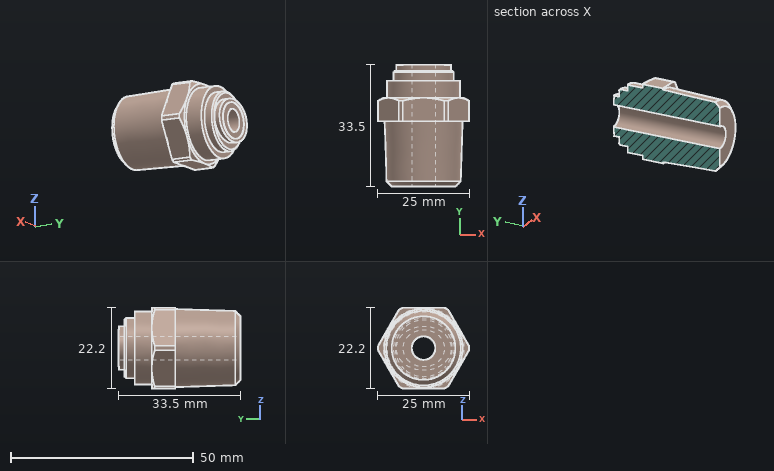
import cadquery as cq
import math


THREAD_LENGTH = 17.9
THREAD_ROOT_DIAMETER = 21.5
THREAD_TAPER = 1 / 16
END_CHAMFER = 1.5

HEX_SIDES = 6
HEX_LENGTH = 6.45
HEX_ACROSS_FLATS = 22.225
HEX_CORNER_DIAMETER = 25.0
HEX_CHAMFER_ANGLE = 30.0

BODY_DIAMETER = 20.1
BODY_LENGTH = 4.75
COLLAR_DIAMETER = 16.6
COLLAR_LENGTH = 2.75
COLLAR_CHAMFER = 0.5

BUTTON_WIDTH = 15.1
BUTTON_HEIGHT = 12.0
BUTTON_LENGTH = 1.55
PAD_WIDTH = 11.4
PAD_HEIGHT = 10.1
PAD_RISE = 0.1

BORE_DIAMETER = 6.4

HEX_START = THREAD_LENGTH
HEX_END = HEX_START + HEX_LENGTH
BODY_END = HEX_END + BODY_LENGTH
COLLAR_END = BODY_END + COLLAR_LENGTH
BUTTON_END = COLLAR_END + BUTTON_LENGTH
TOTAL_LENGTH = BUTTON_END + PAD_RISE


def plane_at(y):
    """Work plane across the axis at y, with local x = X and its normal along +Y."""
    return cq.Workplane(cq.Plane(origin=(0, y, 0), xDir=(1, 0, 0), normal=(0, 1, 0)))


def revolve_profile(points):
    """Turn a closed (radius, y) outline about the Y axis."""
    return cq.Workplane("XY").polyline(points).close().revolve(360, (0, 0, 0), (0, 1, 0))


def make_thread_blank():
    """Tapered cylinder with a 45 degree chamfer at its free end."""
    root_radius = THREAD_ROOT_DIAMETER / 2
    chamfer_radius = root_radius - (THREAD_LENGTH - END_CHAMFER) * THREAD_TAPER / 2
    return revolve_profile([
        (0, 0),
        (chamfer_radius - END_CHAMFER, 0),
        (chamfer_radius, END_CHAMFER),
        (root_radius, THREAD_LENGTH),
        (0, THREAD_LENGTH),
    ])


def make_hexagon():
    """Hexagon with rounded corners, chamfered on the body side."""
    across_corners = HEX_ACROSS_FLATS / math.cos(math.pi / HEX_SIDES)
    prism = plane_at(HEX_START).polygon(HEX_SIDES, across_corners).extrude(HEX_LENGTH)
    flat_radius = HEX_ACROSS_FLATS / 2
    corner_radius = HEX_CORNER_DIAMETER / 2
    chamfer_depth = (corner_radius - flat_radius) * math.tan(math.radians(HEX_CHAMFER_ANGLE))
    envelope = revolve_profile([
        (0, HEX_START),
        (corner_radius, HEX_START),
        (corner_radius, HEX_END - chamfer_depth),
        (flat_radius, HEX_END),
        (0, HEX_END),
    ])
    return prism.intersect(envelope)


def make_body():
    return plane_at(HEX_END).circle(BODY_DIAMETER / 2).extrude(BODY_LENGTH)


def make_collar():
    collar = plane_at(BODY_END).circle(COLLAR_DIAMETER / 2).extrude(COLLAR_LENGTH)
    return collar.faces(">Y").edges().chamfer(COLLAR_CHAMFER)


def make_button():
    """Elliptical button with a slightly raised pad on its end."""
    button = plane_at(COLLAR_END).ellipse(BUTTON_WIDTH / 2, BUTTON_HEIGHT / 2).extrude(BUTTON_LENGTH)
    pad = plane_at(BUTTON_END).ellipse(PAD_WIDTH / 2, PAD_HEIGHT / 2).extrude(PAD_RISE)
    return button.union(pad)


def make_bore():
    return plane_at(0).circle(BORE_DIAMETER / 2).extrude(TOTAL_LENGTH)


result = (
    make_thread_blank()
    .union(make_hexagon())
    .union(make_body())
    .union(make_collar())
    .union(make_button())
    .cut(make_bore())
)